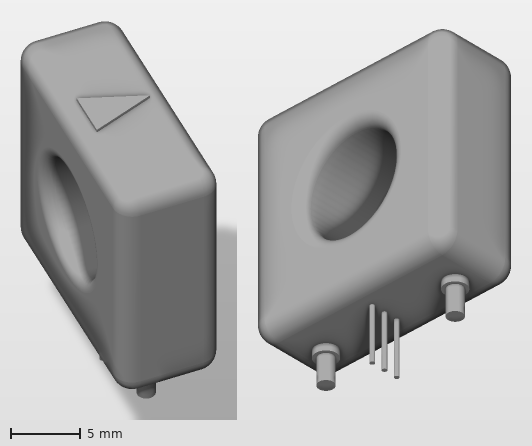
import cadquery as cq

housing_side = 19.4
housing_depth = 8.0
housing_round = 1.5

opening_diameter = 9.0
opening_round = 0.99

total_height = 24.65
pin_length = 5.0
arrow_height = total_height - housing_side - pin_length
arrow_width = 3.65
arrow_length = housing_depth - 2 * housing_round

peg_spacing = 12.95
peg_y = -0.65
peg_diameter = 1.4
peg_length = 3.0
collar_diameter = 2.05
collar_height = 0.65

pin_diameter = 0.42
pin_pitch = 1.28
pin_count = 3

top_z = housing_side / 2
bottom_z = -housing_side / 2
embed = 0.25


def post(x, y, diameter, length):
    """Round post hanging from the bottom face."""
    return (
        cq.Workplane("XY", origin=(x, y, bottom_z - length))
        .circle(diameter / 2)
        .extrude(length + embed)
    )


def make_housing():
    block = cq.Workplane("XY").box(housing_side, housing_depth, housing_side)
    block = block.edges().fillet(housing_round)
    opening = (
        cq.Workplane("XZ", origin=(0, housing_depth / 2, 0))
        .circle(opening_diameter / 2)
        .extrude(housing_depth)
    )
    block = block.cut(opening)
    rims = cq.selectors.RadiusNthSelector(-1)
    return block.edges(rims).fillet(opening_round)


def make_arrow():
    half_width = arrow_width / 2
    half_length = arrow_length / 2
    return (
        cq.Workplane("XY", origin=(0, 0, top_z - embed))
        .polyline([(-half_width, -half_length), (half_width, -half_length), (0, half_length)])
        .close()
        .extrude(arrow_height + embed)
    )


result = make_housing().union(make_arrow())

for side in (-1, 1):
    peg_x = side * peg_spacing / 2
    result = result.union(post(peg_x, peg_y, collar_diameter, collar_height))
    result = result.union(post(peg_x, peg_y, peg_diameter, peg_length))

for index in range(pin_count):
    pin_y = (index - (pin_count - 1) / 2) * pin_pitch
    result = result.union(post(0, pin_y, pin_diameter, pin_length))